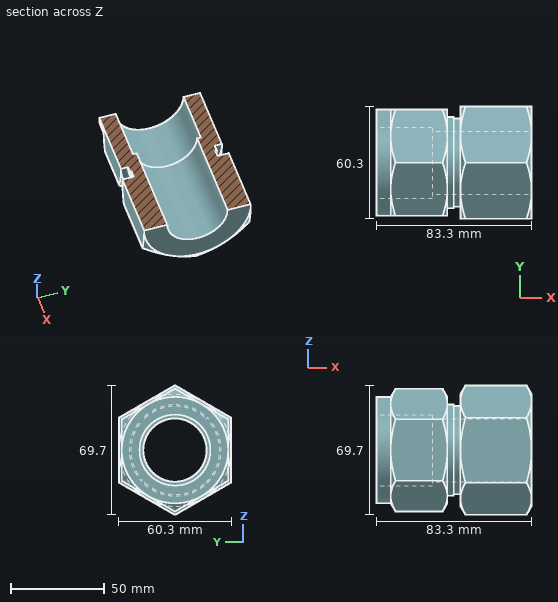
import cadquery as cq
import math

collar_length = 7.7
small_hex_length = 30.4
shoulder_length = 3.4
neck_length = 3.65
total_length = 83.31

small_hex_flats = 57.15
large_hex_flats = 60.32
collar_diameter = small_hex_flats
shoulder_diameter = 49.2
neck_diameter = 47.6
socket_diameter = 38.1
bore_diameter = 33.9

socket_depth = 30.0
chamfer_angle = 30.0

small_hex_start = collar_length
shoulder_start = small_hex_start + small_hex_length
neck_start = shoulder_start + shoulder_length
large_hex_start = neck_start + neck_length
large_hex_length = total_length - large_hex_start


def cylinder(start, length, diameter):
    """Cylinder along X from the given station."""
    return cq.Workplane("YZ", origin=(start, 0, 0)).circle(diameter / 2).extrude(length)


def chamfered_hex(start, length, flats):
    """Hex prism along X with corners up and down, coned at both ends to the flats circle."""
    corner_radius = flats / math.sqrt(3)
    flat_radius = flats / 2
    chamfer_length = (corner_radius - flat_radius) * math.tan(math.radians(chamfer_angle))
    end = start + length

    prism = (
        cq.Workplane("YZ", origin=(start, 0, 0))
        .polygon(6, 2 * corner_radius)
        .extrude(length)
        .rotate((0, 0, 0), (1, 0, 0), 90)
    )
    coned_envelope = (
        cq.Workplane("XY")
        .moveTo(start, 0)
        .lineTo(start, flat_radius)
        .lineTo(start + chamfer_length, corner_radius)
        .lineTo(end - chamfer_length, corner_radius)
        .lineTo(end, flat_radius)
        .lineTo(end, 0)
        .close()
        .revolve(360, (0, 0, 0), (1, 0, 0))
    )
    return prism.intersect(coned_envelope)


collar = cylinder(0, collar_length, collar_diameter)
small_hex = chamfered_hex(small_hex_start, small_hex_length, small_hex_flats)
shoulder = cylinder(shoulder_start, shoulder_length, shoulder_diameter)
neck = cylinder(neck_start, neck_length, neck_diameter)
large_hex = chamfered_hex(large_hex_start, large_hex_length, large_hex_flats)
body = collar.union(small_hex).union(shoulder).union(neck).union(large_hex)

socket = cylinder(0, socket_depth, socket_diameter)
bore = cylinder(0, total_length, bore_diameter)

result = body.cut(socket).cut(bore)